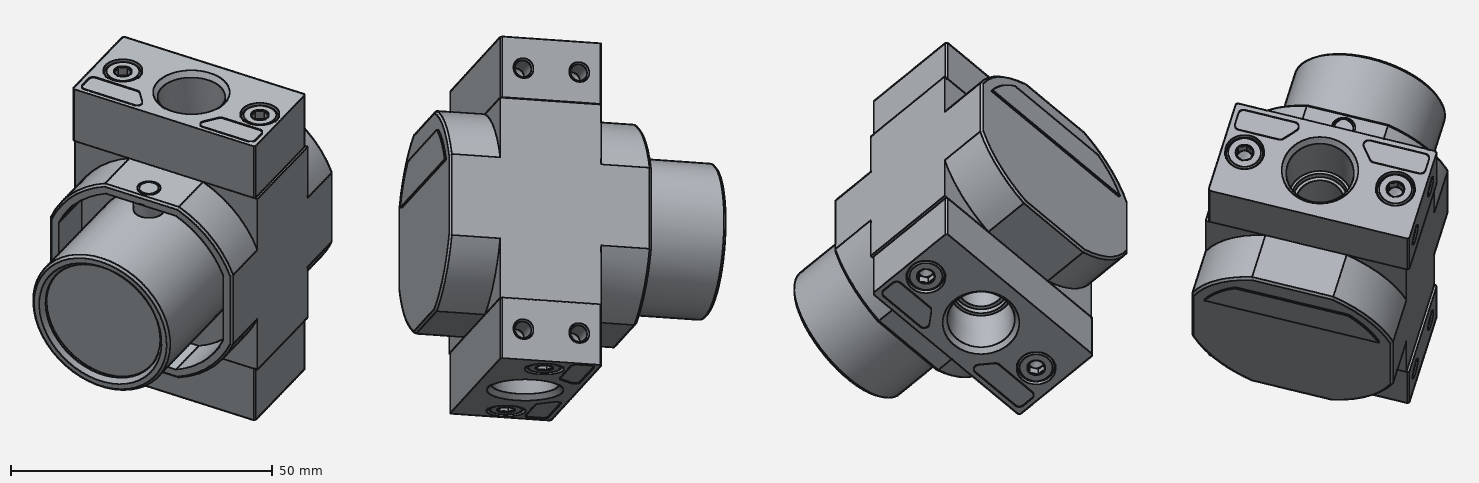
import cadquery as cq
import math

total_height = 64.0
block_size = 39.9
block_half = block_size / 2
flange_depth = block_size / 2
flange_height = (total_height - block_size) / 2
flange_shift = 0.5
flange_edge_chamfer = 0.3

round_radius = 21.5
end_chamfer = 0.45
wall = 2.0
cavity_depth = 9.0
cavity_floor_y = -block_half + cavity_depth

plate_thickness = 0.3
plate_radius = 18.95
plate_bottom_z = 7.7
plate_top_z = 15.2

knob_diameter = 30.0
knob_projection = 16.0
knob_chamfer = 0.5
knob_recess_mouth_diameter = 26.75
knob_recess_diameter = 25.1
knob_recess_mouth_depth = 0.95
knob_recess_depth = 1.5

pin_y = -16.8
pin_head_diameter = 5.95
pin_stud_diameter = 3.8
pin_hole_mouth_diameter = 4.5

port_mouth_diameter = 14.65
port_thread_diameter = 12.9
port_thread_end_diameter = 12.2
port_seat_diameter = 11.0
port_seat_end_diameter = 10.6
port_bore_diameter = 9.2
port_mouth_depth = 1.1
port_thread_depth = 10.0

screw_spacing = 29.95
screw_shank_diameter = 4.0
screw_head_diameter = 7.0
screw_head_top_diameter = 6.3
screw_head_height = 4.0
screw_head_inset = 0.2
screw_engagement = 8.0
counterbore_diameter = 7.5
socket_flats = 3.0
socket_depth = 2.0
drill_tip_angle = 118.0

side_hole_diameter = 3.25
side_hole_mouth_diameter = 4.0
side_hole_spacing = 11.0
side_hole_depth = 6.0

label_margin = 1.0
label_height = 4.5
label_long_inner_x = 5.4
label_short_inner_x = 8.9
label_corner_radius = 1.0
label_depth = 0.2


def cone(start_diameter, end_diameter, height, base, direction):
    """A truncated cone whose start circle is centred on `base`."""
    start = cq.Vector(*base)
    axis = cq.Vector(*direction)
    return cq.Workplane(cq.Solid.makeCone(start_diameter / 2, end_diameter / 2, height, start, axis))


def cylinder(diameter, height, base, direction):
    return cq.Workplane(cq.Solid.makeCylinder(diameter / 2, height, cq.Vector(*base), cq.Vector(*direction)))


def drill_tip_height(diameter):
    return diameter / 2 / math.tan(math.radians(drill_tip_angle / 2))


def rounded_square(size, radius, y_start, y_end):
    """A square bar along Y whose corners are cut by one common cylinder."""
    length = y_end - y_start
    bar = cq.Workplane("XY").box(size, length, size).translate((0, y_start + length / 2, 0))
    return bar.intersect(cylinder(2 * radius, length, (0, y_start, 0), (0, 1, 0)))


def make_rear_plate():
    """A disc segment standing on the rear face."""
    plate_height = plate_top_z - plate_bottom_z
    disc = cylinder(2 * plate_radius, plate_thickness, (0, block_half, 0), (0, 1, 0))
    band = cq.Workplane("XY").box(block_size, block_size, plate_height)
    return disc.intersect(band.translate((0, block_half, plate_bottom_z + plate_height / 2)))


def make_housing():
    ends = rounded_square(block_size, round_radius, -block_half, block_half)
    ends = ends.faces("<Y or >Y").chamfer(end_chamfer)
    block = cq.Workplane("XY").box(block_size, flange_depth, block_size)
    cavity = rounded_square(block_size - 2 * wall, round_radius - wall, -block_half, cavity_floor_y)
    bore = cylinder(port_bore_diameter, block_size, (0, 0, -block_half), (0, 0, 1))
    housing = ends.union(block).union(make_rear_plate()).cut(cavity).cut(bore)
    mouth_depth = (pin_hole_mouth_diameter - pin_stud_diameter) / 2
    mouth_base = (0, pin_y, block_half)
    pin_mouth = cone(pin_hole_mouth_diameter, pin_stud_diameter, mouth_depth, mouth_base, (0, 0, -1))
    return housing.cut(make_pin()).cut(pin_mouth)


def make_knob():
    """A plain round knob with a dished face, standing on the cavity floor."""
    front_y = -block_half - knob_projection
    front = (0, front_y, 0)
    inward = (0, 1, 0)
    knob = cylinder(knob_diameter, cavity_floor_y - front_y, front, inward)
    knob = knob.faces("<Y").chamfer(knob_chamfer)
    recess = cylinder(knob_recess_diameter, knob_recess_depth, front, inward)
    mouth = cone(knob_recess_mouth_diameter, knob_recess_diameter, knob_recess_mouth_depth, front, inward)
    return knob.cut(recess).cut(mouth)


def make_pin():
    """A stud through the cavity wall with a wider head resting on the knob."""
    head_bottom_z = knob_diameter / 2
    head_top_z = block_half - wall
    head = cylinder(pin_head_diameter, head_top_z - head_bottom_z, (0, pin_y, head_bottom_z), (0, 0, 1))
    stud = cylinder(pin_stud_diameter, wall, (0, pin_y, head_top_z), (0, 0, 1))
    return head.union(stud)


def make_port():
    """The stepped port that narrows from the outer face of the top flange to the housing."""
    top_z = total_height / 2
    thread_z = top_z - port_mouth_depth
    seat_z = thread_z - port_thread_depth
    seat_depth = seat_z - block_half
    down = (0, 0, -1)
    mouth = cone(port_mouth_diameter, port_thread_diameter, port_mouth_depth, (0, 0, top_z), down)
    thread = cone(port_thread_diameter, port_thread_end_diameter, port_thread_depth, (0, 0, thread_z), down)
    seat = cone(port_seat_diameter, port_seat_end_diameter, seat_depth, (0, 0, seat_z), down)
    return mouth.union(thread).union(seat)


def make_side_hole(y):
    """A blind drilled hole with a countersunk mouth in the -X face of the top flange."""
    x = -block_half - flange_shift
    z = block_half + flange_height / 2
    inward = (1, 0, 0)
    mouth_depth = (side_hole_mouth_diameter - side_hole_diameter) / 2
    tip_height = drill_tip_height(side_hole_diameter)
    hole = cylinder(side_hole_diameter, side_hole_depth, (x, y, z), inward)
    mouth = cone(side_hole_mouth_diameter, side_hole_diameter, mouth_depth, (x, y, z), inward)
    tip = cone(side_hole_diameter, 0, tip_height, (x + side_hole_depth, y, z), inward)
    return hole.union(mouth).union(tip)


def make_label(side):
    """A shallow recess with one slanted end; `side` is -1 or 1 along X."""
    outer_x = side * (block_half - label_margin) - flange_shift
    bottom_y = -flange_depth / 2 + label_margin
    top_y = bottom_y + label_height
    outline = [
        (outer_x, bottom_y),
        (side * label_long_inner_x, bottom_y),
        (side * label_short_inner_x, top_y),
        (outer_x, top_y),
    ]
    floor = cq.Workplane("XY").workplane(offset=total_height / 2 - label_depth)
    return floor.polyline(outline).close().extrude(label_depth).edges("|Z").fillet(label_corner_radius)


def make_screw(side):
    """A socket head screw of the top flange; `side` is -1 or 1 along X."""
    x = side * screw_spacing / 2
    top_z = total_height / 2 - screw_head_inset
    shoulder_z = top_z - screw_head_height
    shank_end_z = block_half - screw_engagement
    head_chamfer = (screw_head_diameter - screw_head_top_diameter) / 2
    socket_corners = socket_flats / math.cos(math.radians(30))
    socket_bottom_z = top_z - socket_depth

    head = cylinder(screw_head_diameter, screw_head_height, (x, 0, shoulder_z), (0, 0, 1))
    head = head.faces(">Z").chamfer(head_chamfer)
    shank = cylinder(screw_shank_diameter, shoulder_z - shank_end_z, (x, 0, shank_end_z), (0, 0, 1))
    socket = cq.Workplane("XY", origin=(x, 0, socket_bottom_z)).polygon(6, socket_corners).extrude(socket_depth)
    socket = socket.rotate((x, 0, 0), (x, 0, 1), 30)
    mouth_depth = (socket_corners - socket_flats) / 2
    mouth = cone(socket_corners, socket_flats, mouth_depth, (x, 0, top_z), (0, 0, -1))
    tip = cone(socket_flats, 0, drill_tip_height(socket_flats), (x, 0, socket_bottom_z), (0, 0, -1))
    return head.union(shank).cut(socket).cut(mouth).cut(tip)


def make_screw_hole(side):
    """The counterbored hole that one screw of the top flange fills."""
    x = side * screw_spacing / 2
    hole_end_z = block_half - screw_engagement
    shoulder_z = total_height / 2 - screw_head_inset - screw_head_height
    shank_hole = cylinder(screw_shank_diameter, shoulder_z - hole_end_z, (x, 0, hole_end_z), (0, 0, 1))
    counterbore = cylinder(counterbore_diameter, total_height / 2 - shoulder_z, (x, 0, shoulder_z), (0, 0, 1))
    return shank_hole.union(counterbore)


def make_flange():
    """The top flange."""
    flange = cq.Workplane("XY").box(block_size, flange_depth, flange_height)
    flange = flange.edges("|Z").chamfer(flange_edge_chamfer)
    flange = flange.translate((-flange_shift, 0, block_half + flange_height / 2))
    flange = flange.cut(make_port())
    for side in (-1, 1):
        flange = flange.cut(make_screw_hole(side))
        flange = flange.cut(make_side_hole(side * side_hole_spacing / 2))
        flange = flange.cut(make_label(side))
    return flange


top_flange = make_flange()
flanges = [top_flange, top_flange.mirror("XY")]

screws = []
housing = make_housing()
for side in (-1, 1):
    screw = make_screw(side)
    screw_hole = make_screw_hole(side)
    screws += [screw, screw.mirror("XY")]
    housing = housing.cut(screw_hole).cut(screw_hole.mirror("XY"))

knob = make_knob()
pin = make_pin()

bodies = [housing, knob, pin, *flanges, *screws]
result = cq.Compound.makeCompound([body.val() for body in bodies])